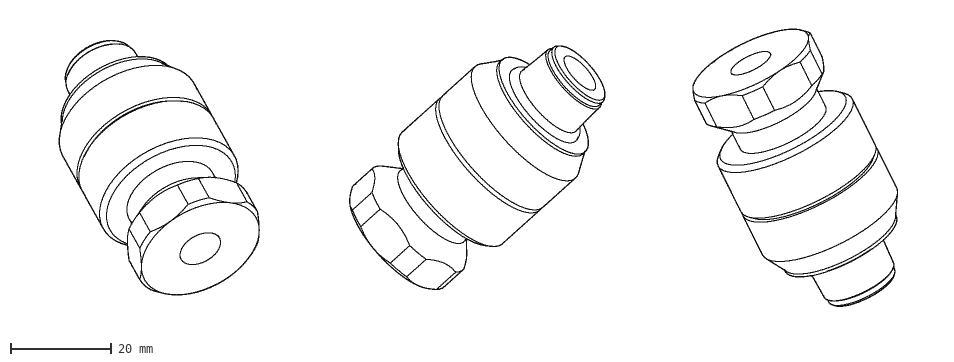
import cadquery as cq
import math

length = 53.05
bore_radius = 8.75 / 2

tip_face_radius = 13.9 / 2
tip_radius = 14.7 / 2
tip_chamfer_end = 0.5
tip_end = 1.55
spigot_start = 1.8
spigot_start_radius = 7.75

body_start = 10.4
body_front_radius = 24.75 / 2
rim_end = 11.1
cone_end = 15.7
body_radius = 29.95 / 2
groove_start = 25.0
groove_size = 0.95
body_end = 37.75
body_chamfer = 1.05

ring_radius = 19.05 / 2
ring_round = 1.45
ring_start = body_start - ring_round

neck_radius = ring_radius
nut_start = 42.55
nut_radius = 13.6
nut_across_flats = 25.45
nut_chamfer = 0.85
hex_sides = 6


def revolve_about_x(profile):
    """Turn a closed (x, radius) profile fully about the X axis."""
    return profile.close().revolve(360, (0, 0, 0), (1, 0, 0))


def make_spigot():
    """The stepped tip, the tapered spigot and the sealing ring behind it."""
    profile = (
        cq.Workplane("XY")
        .lineTo(0, tip_face_radius)
        .lineTo(tip_chamfer_end, tip_radius)
        .lineTo(tip_end, tip_radius)
        .lineTo(spigot_start, spigot_start_radius)
        .lineTo(ring_start, ring_radius - ring_round)
        .radiusArc((body_start, ring_radius), ring_round)
        .lineTo(body_start, 0)
    )
    return revolve_about_x(profile)


def make_body():
    profile = (
        cq.Workplane("XY")
        .moveTo(body_start, 0)
        .lineTo(body_start, body_front_radius)
        .lineTo(rim_end, body_front_radius)
        .lineTo(cone_end, body_radius)
        .lineTo(groove_start, body_radius)
        .lineTo(groove_start, body_radius - groove_size)
        .lineTo(groove_start + groove_size, body_radius)
        .lineTo(body_end - body_chamfer, body_radius)
        .lineTo(body_end, body_radius - body_chamfer)
        .lineTo(body_end, 0)
    )
    return revolve_about_x(profile)


def make_neck():
    return cq.Workplane("YZ", origin=(body_end, 0, 0)).circle(neck_radius).extrude(nut_start - body_end)


def make_nut():
    """A turned blank with 45 degree cones, trimmed to a hexagon with flats facing -Y and +Y."""
    cone_length = nut_radius - neck_radius
    profile = (
        cq.Workplane("XY")
        .moveTo(nut_start, 0)
        .lineTo(nut_start, neck_radius)
        .lineTo(nut_start + cone_length, nut_radius)
        .lineTo(length - nut_chamfer, nut_radius)
        .lineTo(length, nut_radius - nut_chamfer)
        .lineTo(length, 0)
    )
    across_corners = nut_across_flats / math.cos(math.pi / hex_sides)
    hexagon = (
        cq.Workplane("YZ", origin=(nut_start, 0, 0))
        .transformed(rotate=(0, 0, 180 / hex_sides))
        .polygon(hex_sides, across_corners)
        .extrude(length - nut_start)
    )
    return revolve_about_x(profile).intersect(hexagon)


bore = cq.Workplane("YZ").circle(bore_radius).extrude(length)
result = make_spigot().union(make_body()).union(make_neck()).union(make_nut()).cut(bore)